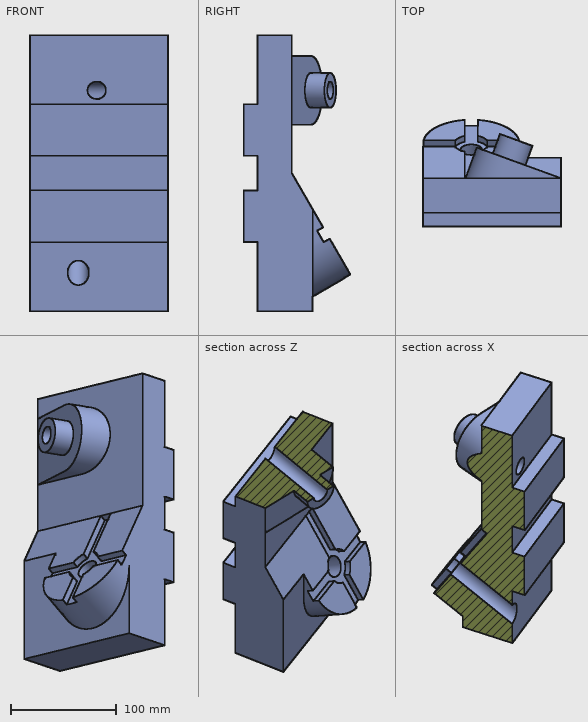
import cadquery as cq
import math

width = 130.5
height = 260.8
plate_front = 13.0
plate_back = 45.6
foot_back = 65.2
rail_height = 48.9
rail_bottoms = (65.2, 146.7)

seat_tilt = 30.0
seat_top = 130.5
seat_radius = 45.6
seat_x = seat_radius - width / 2
seat_reach = 65.2
seat_embed = 44.3
slot_width = 12.3
slot_depth = 6.5
recess_radius = 16.2
seat_hole_diameter = 20.0

boss_turn = 20.0
boss_z = 208.6
boss_radius = 32.5
boss_reach = 52.2
boss_embed = 31.3
spigot_diameter = 32.9
spigot_height = 19.5
boss_hole_diameter = 16.5

through = 156.5


def tongue(plane, reach, radius, depth):
    """Pad starting at the plane's origin along local Y, with a round far end, built inwards."""
    return (
        cq.Workplane(plane)
        .moveTo(-radius, 0)
        .lineTo(-radius, reach)
        .threePointArc((0, reach + radius), (radius, reach))
        .lineTo(radius, 0)
        .close()
        .extrude(-depth)
    )


def drill(plane, reach, diameter):
    """Through hole, square to the pad, at the centre of its round end."""
    return cq.Workplane(plane).center(0, reach).circle(diameter / 2).extrude(through, both=True)


def make_body():
    """Plate with a thicker foot, joined by a slope, and with rails on the front."""
    foot_top = seat_top - (foot_back - plate_back) / math.tan(math.radians(seat_tilt))
    body = (
        cq.Workplane("YZ")
        .polyline([
            (plate_front, 0),
            (foot_back, 0),
            (foot_back, foot_top),
            (plate_back, seat_top),
            (plate_back, height),
            (plate_front, height),
        ])
        .close()
        .extrude(width / 2, both=True)
    )
    for bottom in rail_bottoms:
        rail = cq.Workplane("XY").box(width, plate_front, rail_height, centered=(True, False, False))
        body = body.union(rail.translate((0, 0, bottom)))
    return body


def make_seat_cuts(plane):
    """Crossed slots and a round recess, all with the same floor."""
    face = cq.Workplane(plane)
    cross_slot = face.center(0, seat_reach).rect(2 * seat_radius, slot_width).extrude(-slot_depth)
    slot_length = seat_reach + seat_radius
    long_slot = face.center(0, slot_length / 2).rect(slot_width, slot_length).extrude(-slot_depth)
    recess = face.center(0, seat_reach).circle(recess_radius).extrude(-slot_depth)
    return cross_slot.union(long_slot).union(recess)


tilt = math.radians(seat_tilt)
seat_plane = cq.Plane(
    origin=(seat_x, plate_back, seat_top),
    xDir=(1, 0, 0),
    normal=(0, math.cos(tilt), math.sin(tilt)),
)
boss_plane = cq.Plane(
    origin=(width / 2, plate_back, boss_z),
    xDir=(0, 0, -1),
    normal=(math.sin(math.radians(boss_turn)), math.cos(math.radians(boss_turn)), 0),
)

seat = tongue(seat_plane, seat_reach, seat_radius, seat_embed)
boss = tongue(boss_plane, boss_reach, boss_radius, boss_embed)
spigot = (
    cq.Workplane(boss_plane).center(0, boss_reach).circle(spigot_diameter / 2).extrude(spigot_height)
)

result = (
    make_body()
    .union(seat)
    .union(boss)
    .union(spigot)
    .cut(make_seat_cuts(seat_plane))
    .cut(drill(seat_plane, seat_reach, seat_hole_diameter))
    .cut(drill(boss_plane, boss_reach, boss_hole_diameter))
)